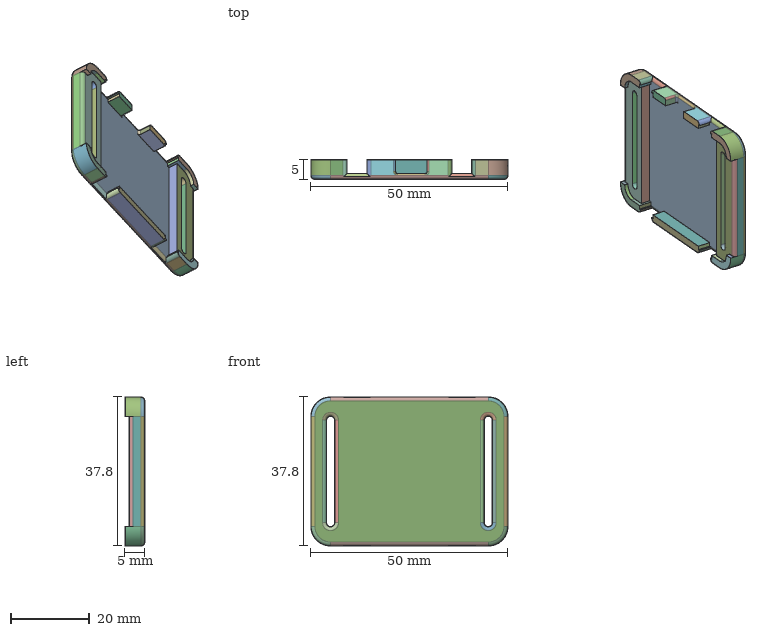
import cadquery as cq
import math

LENGTH = 50.0
DEPTH = 5.0
HEIGHT = 37.8
CORNER_RADIUS = 5.0
EDGE_RADIUS = 1.0

FLOOR_THICKNESS = 1.5
WALL_THICKNESS = 2.0

SLOT_WIDTH = 2.0
SLOT_LENGTH = 28.0
SLOT_END_DISTANCE = 5.0
BAR_DEPTH = 4.0

STRAP_NOTCH_WIDTH = 5.0
STRAP_NOTCH_OFFSET = 13.3
STRAP_NOTCH_RELIEF = 0.5

TOP_NOTCH_WIDTH = 8.0
TOP_NOTCH_CENTRE = 0.5
TOP_NOTCH_RADIUS = 0.5

MARGIN = 0.5

slot_centre = LENGTH / 2 - SLOT_END_DISTANCE
slot_inner_edge = slot_centre - SLOT_WIDTH / 2
bar_length = HEIGHT - 2 * CORNER_RADIUS
pocket_length = 2 * (slot_inner_edge - WALL_THICKNESS)
pocket_height = HEIGHT - 2 * WALL_THICKNESS
wall_round = WALL_THICKNESS / 2


def block(x_size, z_size, y_start, y_end, x_centre=0.0, z_centre=0.0):
    """Box centred in X and Z that spans y_start to y_end."""
    box = cq.Workplane("XY").box(x_size, y_end - y_start, z_size)
    return box.translate((x_centre, (y_start + y_end) / 2, z_centre))


def rounded_plate():
    """Full envelope with rounded corners and a rounded front rim."""
    plate = block(LENGTH, HEIGHT, 0, DEPTH).edges("|Y").fillet(CORNER_RADIUS)
    return plate.faces("<Y").edges().fillet(EDGE_RADIUS)


def strap_slot(x_centre):
    """Through slot whose front rim is rounded over."""
    blank = block(4 * SLOT_WIDTH, SLOT_LENGTH + 4 * SLOT_WIDTH, 0, DEPTH, x_centre)
    through = (
        cq.Workplane("XZ", origin=(x_centre, 0, 0))
        .slot2D(SLOT_LENGTH, SLOT_WIDTH, 90)
        .extrude(-DEPTH)
    )
    rim = cq.selectors.BoxSelector(
        (x_centre - SLOT_WIDTH, -MARGIN, -SLOT_LENGTH / 2 - MARGIN),
        (x_centre + SLOT_WIDTH, MARGIN, SLOT_LENGTH / 2 + MARGIN),
    )
    rounded = blank.cut(through).edges(rim).fillet(EDGE_RADIUS)
    return blank.cut(rounded)


def bar_edge(side):
    """Material removed to round the outer rear edge of a strap bar."""
    arc_reach = EDGE_RADIUS * math.sqrt(0.5)
    outer_x = side * LENGTH / 2
    centre_x = outer_x - side * EDGE_RADIUS
    centre_y = BAR_DEPTH - EDGE_RADIUS
    return (
        cq.Workplane("XY", origin=(0, 0, -bar_length / 2))
        .moveTo(outer_x, centre_y)
        .threePointArc((centre_x + side * arc_reach, centre_y + arc_reach), (centre_x, BAR_DEPTH))
        .lineTo(outer_x, BAR_DEPTH)
        .close()
        .extrude(bar_length)
    )


def strap_notch(x_centre):
    """Notch through the top wall with rounded outer edges, wider on the inner half of the wall."""
    outer_z = HEIGHT / 2
    middle_z = outer_z - wall_round
    inner_z = outer_z - WALL_THICKNESS
    half_width = STRAP_NOTCH_WIDTH / 2
    relieved = half_width + STRAP_NOTCH_RELIEF
    flared = half_width + wall_round
    arc_inset = wall_round * (1 - math.sqrt(0.5))
    arc_reach = wall_round * math.sqrt(0.5)
    sides = (
        cq.Workplane("XZ")
        .moveTo(-relieved, inner_z)
        .lineTo(relieved, inner_z)
        .lineTo(relieved, middle_z)
        .lineTo(half_width, middle_z)
        .threePointArc((half_width + arc_inset, middle_z + arc_reach), (flared, outer_z))
        .lineTo(-flared, outer_z)
        .threePointArc((-half_width - arc_inset, middle_z + arc_reach), (-half_width, middle_z))
        .lineTo(-relieved, middle_z)
        .close()
        .extrude(-DEPTH)
    )
    sill = (
        cq.Workplane("YZ", origin=(-flared, 0, 0))
        .moveTo(DEPTH, inner_z)
        .lineTo(FLOOR_THICKNESS, inner_z)
        .lineTo(FLOOR_THICKNESS, middle_z)
        .threePointArc(
            (FLOOR_THICKNESS - arc_inset, middle_z + arc_reach),
            (FLOOR_THICKNESS - wall_round, outer_z),
        )
        .lineTo(DEPTH, outer_z)
        .close()
        .extrude(2 * flared)
    )
    return sides.intersect(sill).translate((x_centre, 0, 0))


def top_notch():
    """Notch through the top wall with rounded bottom corners and outer edges."""
    wall_z = (HEIGHT - WALL_THICKNESS) / 2
    wall = block(2 * TOP_NOTCH_WIDTH, WALL_THICKNESS, 0, DEPTH, 0, wall_z)
    opening = block(TOP_NOTCH_WIDTH, WALL_THICKNESS, FLOOR_THICKNESS, DEPTH + MARGIN, 0, wall_z)
    opening = opening.faces("<Y").edges("|Z").fillet(TOP_NOTCH_RADIUS)
    rim = cq.selectors.BoxSelector(
        (-TOP_NOTCH_WIDTH / 2 - MARGIN, MARGIN, HEIGHT / 2 - MARGIN),
        (TOP_NOTCH_WIDTH / 2 + MARGIN, DEPTH - MARGIN, HEIGHT / 2 + MARGIN),
    )
    notched = wall.cut(opening).edges(rim).fillet(TOP_NOTCH_RADIUS)
    return wall.cut(notched).translate((TOP_NOTCH_CENTRE, 0, 0))


result = rounded_plate().cut(block(pocket_length, pocket_height, FLOOR_THICKNESS, DEPTH))

rim_opening = block(LENGTH - 2 * WALL_THICKNESS, pocket_height, BAR_DEPTH, DEPTH)
result = result.cut(rim_opening.edges("|Y").fillet(CORNER_RADIUS - WALL_THICKNESS))
result = result.cut(block(LENGTH, bar_length, BAR_DEPTH, DEPTH))

for side in (-1, 1):
    result = result.cut(strap_slot(side * slot_centre))
    result = result.cut(bar_edge(side))
    notch = strap_notch(side * STRAP_NOTCH_OFFSET)
    result = result.cut(notch).cut(notch.mirror("XY"))

result = result.cut(top_notch())